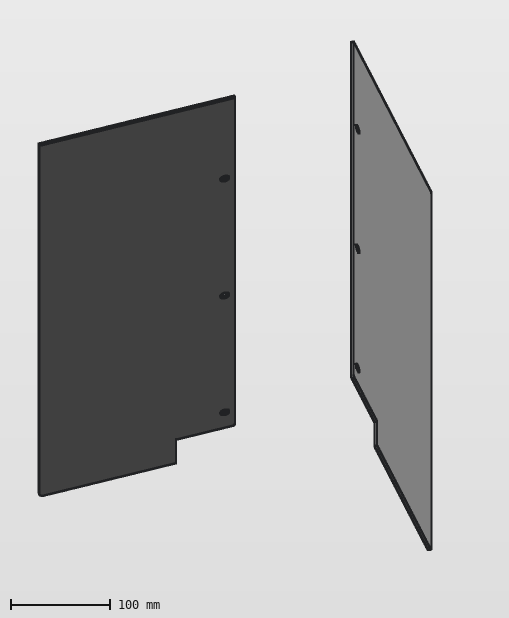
import cadquery as cq

thickness = 3.0
width = 205.0
height = 600.0

notch_width = 62.0
notch_height = 40.0

notch_corner_radius = 3.0
bottom_corner_radius = 5.0

hole_diameter = 9.0
hole_edge_distance = 11.0
hole_spacing = 200.0
lowest_hole_height = 66.5
hole_count = 3

y_max = width / 2
z_min = -height / 2


def through_box(y_size, z_size):
    """Box spanning the panel thickness, centred on the origin."""
    return cq.Workplane("XY").box(thickness, y_size, z_size)


def round_corner(body, y, z, radius):
    """Round the X-direction edge passing through the given Y, Z point."""
    corner = cq.selectors.NearestToPointSelector((0, y, z))
    return body.edges(corner).fillet(radius)


notch = through_box(notch_width, notch_height).translate(
    (0, y_max - notch_width / 2, z_min + notch_height / 2)
)
panel = through_box(width, height).cut(notch)
panel = round_corner(panel, y_max, z_min + notch_height, notch_corner_radius)
panel = round_corner(panel, -y_max, z_min, bottom_corner_radius)

hole_centres = [
    (y_max - hole_edge_distance, z_min + lowest_hole_height + i * hole_spacing)
    for i in range(hole_count)
]
holes = (
    cq.Workplane("YZ")
    .pushPoints(hole_centres)
    .circle(hole_diameter / 2)
    .extrude(thickness, both=True)
)

result = panel.cut(holes)